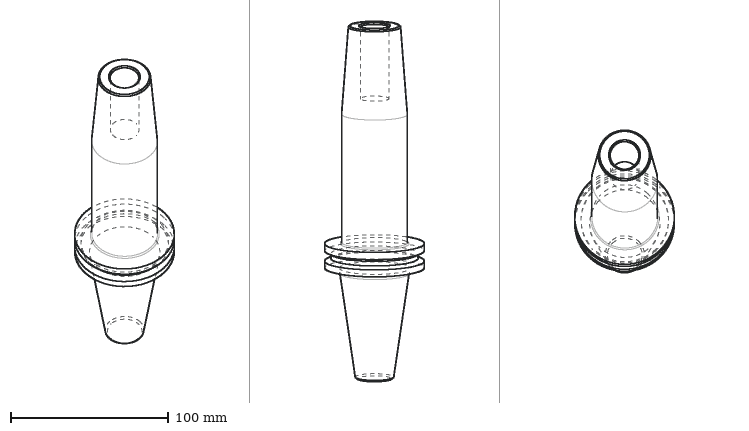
import cadquery as cq

total_height = 228.5
gauge_height = 68.3
flange_bottom = 71.7
flange_top = 87.5

gauge_radius = 22.2
taper_ratio = 7 / 24
taper_end_radius = gauge_radius - gauge_height * taper_ratio / 2
taper_end_chamfer = 1.1
collar_radius = 22.4
collar_flare_height = 1.4

flange_radius = 31.7
groove_floor_radius = 27.9
groove_center = 79.5
groove_mouth_width = 6.6
groove_floor_width = 3.0

body_radius = 21.0
body_root_fillet = 1.0
nose_length = 57.0
nose_tip_radius = 16.7
nose_tip_chamfer = 1.0
bore_radius = 9.1
bore_depth = 47.0
bore_chamfer = 1.0


def make_taper():
    """Taper with a chamfered small end, and the collar up to the flange."""
    chamfer_top_radius = taper_end_radius + taper_end_chamfer * taper_ratio / 2
    return (
        cq.Workplane("XZ")
        .lineTo(taper_end_radius - taper_end_chamfer, 0)
        .lineTo(chamfer_top_radius, taper_end_chamfer)
        .lineTo(gauge_radius, gauge_height)
        .lineTo(collar_radius, gauge_height + collar_flare_height)
        .lineTo(collar_radius, flange_bottom)
        .lineTo(0, flange_bottom)
        .close()
        .revolve(360, (0, 0), (0, 1))
    )


def make_flange():
    """Disc with the V groove turned into its rim."""
    half_mouth = groove_mouth_width / 2
    half_floor = groove_floor_width / 2
    return (
        cq.Workplane("XZ")
        .moveTo(0, flange_bottom)
        .lineTo(flange_radius, flange_bottom)
        .lineTo(flange_radius, groove_center - half_mouth)
        .lineTo(groove_floor_radius, groove_center - half_floor)
        .lineTo(groove_floor_radius, groove_center + half_floor)
        .lineTo(flange_radius, groove_center + half_mouth)
        .lineTo(flange_radius, flange_top)
        .lineTo(0, flange_top)
        .close()
        .revolve(360, (0, 0), (0, 1))
    )


def make_body():
    """Cylinder filleted into the flange, ending in a chamfered conical nose."""
    nose_base = total_height - nose_length
    nose_slope = (body_radius - nose_tip_radius) / nose_length
    chamfer_base_radius = nose_tip_radius + nose_tip_chamfer * nose_slope
    return (
        cq.Workplane("XZ")
        .moveTo(0, flange_top)
        .lineTo(body_radius + body_root_fillet, flange_top)
        .radiusArc((body_radius, flange_top + body_root_fillet), body_root_fillet)
        .lineTo(body_radius, nose_base)
        .lineTo(chamfer_base_radius, total_height - nose_tip_chamfer)
        .lineTo(nose_tip_radius - nose_tip_chamfer, total_height)
        .lineTo(0, total_height)
        .close()
        .revolve(360, (0, 0), (0, 1))
    )


def make_bore():
    """Blind tool bore with a chamfered mouth, as a cutting solid."""
    bore_floor = total_height - bore_depth
    return (
        cq.Workplane("XZ")
        .moveTo(0, bore_floor)
        .lineTo(bore_radius, bore_floor)
        .lineTo(bore_radius, total_height - bore_chamfer)
        .lineTo(bore_radius + bore_chamfer, total_height)
        .lineTo(0, total_height)
        .close()
        .revolve(360, (0, 0), (0, 1))
    )


result = make_taper().union(make_flange()).union(make_body()).cut(make_bore())